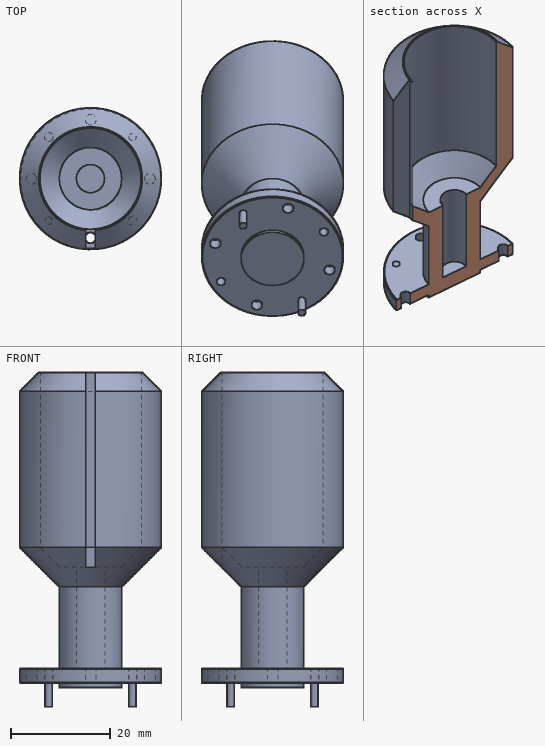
import cadquery as cq
import math

total_height = 67.4
pin_protrusion = 4.7
boss_protrusion = 0.8
flange_thickness = 3.1
shoulder_height = 24.2

body_radius = 14.3
rim_radius = 10.45
tube_radius = 6.35
edge_chamfer = 0.2

bore_radius = 10.2
throat_radius = 6.3
waveguide_radius = 2.8

slot_width = 1.9
slot_wall_offset = 10.25

bolt_circle_radius = 11.9
screw_hole_radius = 1.1
dowel_hole_radius = 0.9
pin_radius = 0.75
screw_hole_angles = (0, 90, 180, 270)
dowel_hole_angles = (135, 315)
pin_angles = (45, 225)

flange_bottom = pin_protrusion
flange_top = flange_bottom + flange_thickness
tube_bottom = flange_bottom - boss_protrusion
body_bottom = shoulder_height + body_radius - tube_radius
body_top = total_height - (body_radius - rim_radius)
bore_floor_height = body_bottom - (bore_radius - throat_radius)
waveguide_floor_height = flange_top


def bolt_circle_point(angle):
    """Return the XY position on the flange bolt circle at an angle in degrees."""
    radians = math.radians(angle)
    return bolt_circle_radius * math.cos(radians), bolt_circle_radius * math.sin(radians)


def revolve_profile(points):
    """Revolve a closed outline of (radius, height) points about the Z axis."""
    return cq.Workplane("XZ").polyline(points).close().revolve(360, (0, 0, 0), (0, 1, 0))


def make_outer_shape():
    """Flange, tube and horn body as one solid of revolution."""
    flange_face_radius = body_radius - edge_chamfer
    return revolve_profile([
        (0, tube_bottom),
        (tube_radius, tube_bottom),
        (tube_radius, flange_bottom),
        (flange_face_radius, flange_bottom),
        (body_radius, flange_bottom + edge_chamfer),
        (body_radius, flange_top - edge_chamfer),
        (flange_face_radius, flange_top),
        (tube_radius, flange_top),
        (tube_radius, shoulder_height),
        (body_radius, body_bottom),
        (body_radius, body_top),
        (rim_radius, total_height),
        (0, total_height),
    ])


def make_bore():
    """Open bore that narrows through a conical throat to a blind centre hole."""
    return revolve_profile([
        (0, waveguide_floor_height),
        (waveguide_radius, waveguide_floor_height),
        (waveguide_radius, bore_floor_height),
        (throat_radius, bore_floor_height),
        (bore_radius, body_bottom),
        (bore_radius, total_height),
        (0, total_height),
    ])


def make_slot():
    """Vertical slot on the -Y side, running out through the shoulder cone below."""
    slot_depth = body_radius - slot_wall_offset
    return (
        cq.Workplane("XY", origin=(0, -(slot_wall_offset + slot_depth / 2), shoulder_height))
        .rect(slot_width, slot_depth)
        .extrude(total_height - shoulder_height)
    )


def make_flange_holes(angles, radius):
    """Cylinders through the flange on the bolt circle."""
    return (
        cq.Workplane("XY", origin=(0, 0, flange_bottom))
        .pushPoints([bolt_circle_point(angle) for angle in angles])
        .circle(radius)
        .extrude(flange_thickness)
    )


def make_housing():
    """Horn, tube and flange with the bore, slot and flange holes removed."""
    return (
        make_outer_shape()
        .cut(make_bore())
        .cut(make_slot())
        .cut(make_flange_holes(screw_hole_angles, screw_hole_radius))
        .cut(make_flange_holes(dowel_hole_angles, dowel_hole_radius))
        .cut(make_flange_holes(pin_angles, pin_radius))
    )


def make_pin(angle):
    """Alignment pin flush with the flange top and standing out below it."""
    return (
        cq.Workplane("XY")
        .center(*bolt_circle_point(angle))
        .circle(pin_radius)
        .extrude(flange_top)
    )


housing = make_housing()
pins = [make_pin(angle) for angle in pin_angles]

result = cq.Compound.makeCompound([housing.solids().val(), *[pin.val() for pin in pins]])